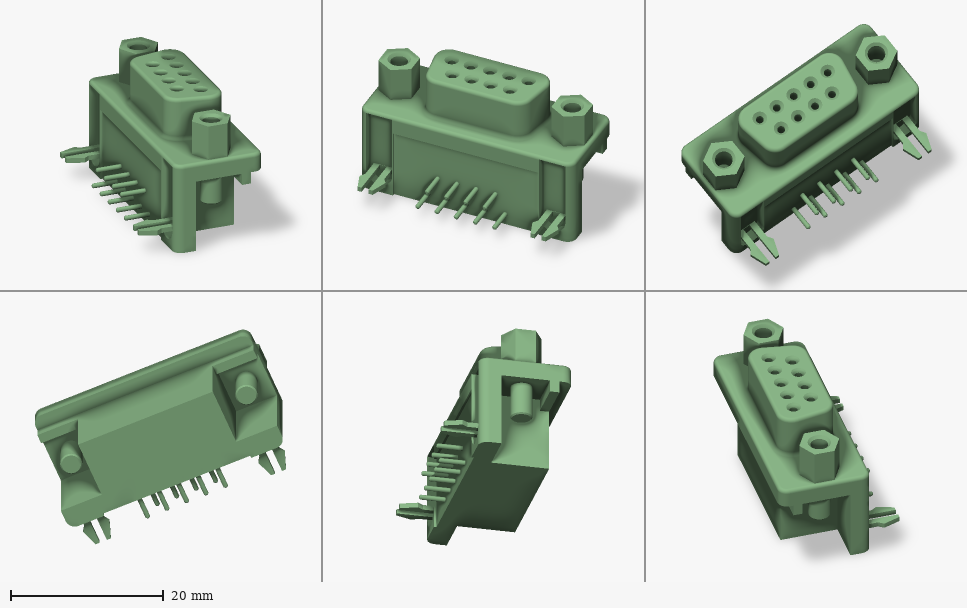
import cadquery as cq
import math


flange_length = 30.8
flange_depth = 12.5
flange_bottom = 9.95
flange_top = 12.5
corner_radius = 1.3
edge_round = 0.5
front_y = -flange_depth / 2
front_wall_thickness = 2.9

body_half_width = 9.58
body_back_y = 4.45
panel_half_width = 10.48
panel_recess = 0.35
panel_y = front_y + panel_recess
back_lip_depth = 1.25
back_lip_height = 1.6

shell_top = 18.3
shell_half_depth = 3.95
shell_mean_half_width = 7.92
shell_taper = 10.0
shell_corner_radius = 2.05
shell_height = shell_top - flange_top

contact_pitch = 2.77
row_spacing = 2.8
row_counts = (5, 4)
socket_diameter = 1.02
socket_mouth_diameter = 1.9
socket_depth = shell_height
pin_diameter = 0.65
pin_length = 3.17
pin_tip_chamfer = 0.15
pin_lower_row_z = 1.6
pin_root = 0.3

jack_x = 12.48
hex_across_flats = 4.75
hex_height = 4.78
jack_hole_diameter = 2.3
jack_mouth_diameter = 3.05
screw_diameter = 2.9
screw_bottom = 5.45
screw_chamfer = 0.2

slot_half_width = 1.88
slot_depth = 1.4
slot_top = 12.1
slot_floor_y = front_y + slot_depth
lock_z = pin_lower_row_z + row_spacing / 2
lock_thickness = 0.68
lock_web_thickness = 0.05
lock_gap_half_width = 0.508
lock_shank_half_width = 1.4
lock_tip_half_width = 1.08
lock_barb_start = 1.35
lock_barb_peak = 2.1
lock_length = 4.38


def box(x_range, y_range, z_range):
    """Box spanning the given ranges."""
    size = [high - low for low, high in (x_range, y_range, z_range)]
    corner = cq.Vector(x_range[0], y_range[0], z_range[0])
    return cq.Workplane(cq.Solid.makeBox(*size, corner))


def row_positions(count):
    """X places of one row of contacts, centred on X = 0."""
    return [(i - (count - 1) / 2) * contact_pitch for i in range(count)]


def make_housing():
    """Flange with its front wall, recessed front panel, body and back lip."""
    housing = (
        cq.Workplane("XY")
        .rect(flange_length, flange_depth)
        .extrude(flange_top)
        .edges("|Z")
        .fillet(corner_radius)
        .faces(">Z")
        .edges()
        .fillet(edge_round)
    )
    half_length = flange_length / 2
    wall_back_y = front_y + front_wall_thickness
    full_width = (-half_length, half_length)
    housing = housing.cut(box(full_width, (wall_back_y, -front_y), (0, flange_bottom)))
    housing = housing.cut(
        box((-panel_half_width, panel_half_width), (front_y, panel_y), (0, flange_bottom))
    )
    body = box((-body_half_width, body_half_width), (wall_back_y, body_back_y), (0, flange_bottom))
    lip = box(
        full_width,
        (body_back_y - back_lip_depth, body_back_y),
        (flange_bottom - back_lip_height, flange_bottom),
    )
    return housing.union(body).union(lip)


def add_shell(housing):
    """D-shaped shell, rounded on top and blended into the flange."""
    flare = shell_half_depth * math.tan(math.radians(shell_taper))
    back_half_width = shell_mean_half_width + flare
    front_half_width = shell_mean_half_width - flare
    shell = (
        cq.Workplane("XY", origin=(0, 0, flange_top))
        .polyline(
            [
                (-back_half_width, shell_half_depth),
                (back_half_width, shell_half_depth),
                (front_half_width, -shell_half_depth),
                (-front_half_width, -shell_half_depth),
            ]
        )
        .close()
        .extrude(shell_height)
        .edges("|Z")
        .fillet(shell_corner_radius)
        .faces(">Z")
        .edges()
        .fillet(edge_round)
    )
    joint = cq.selectors.BoxSelector(
        (-back_half_width, -shell_half_depth - edge_round / 2, flange_top - edge_round / 2),
        (back_half_width, shell_half_depth + edge_round / 2, flange_top + edge_round / 2),
    )
    return housing.union(shell).edges(joint).fillet(edge_round)


def countersunk_hole(x, y, top, diameter, mouth_diameter, depth):
    """Cutter for a blind hole with a 45 degree countersink."""
    radius = diameter / 2
    mouth_radius = mouth_diameter / 2
    return (
        cq.Workplane("XZ")
        .polyline(
            [
                (0, 0),
                (mouth_radius, 0),
                (radius, radius - mouth_radius),
                (radius, -depth),
                (0, -depth),
            ]
        )
        .close()
        .revolve(360, (0, 0), (0, 1))
        .translate((x, y, top))
    )


def make_pin(x, z):
    """Solder pin leaving the front panel, chamfered at its tip."""
    return (
        cq.Workplane("XZ", origin=(x, panel_y + pin_root, z))
        .circle(pin_diameter / 2)
        .extrude(pin_root + panel_recess + pin_length)
        .faces("<Y")
        .chamfer(pin_tip_chamfer)
    )


def make_jack(x):
    """Hexagonal jack socket on the flange, with its screw below."""
    across_corners = hex_across_flats / math.cos(math.pi / 6)
    nut = (
        cq.Workplane("XY", origin=(x, 0, flange_top))
        .transformed(rotate=(0, 0, 90))
        .polygon(6, across_corners)
        .extrude(hex_height)
    )
    screw = (
        cq.Workplane("XY", origin=(x, 0, screw_bottom))
        .circle(screw_diameter / 2)
        .extrude(flange_bottom - screw_bottom)
        .faces("<Z")
        .chamfer(screw_chamfer)
    )
    hole = countersunk_hole(
        x, 0, flange_top + hex_height, jack_hole_diameter, jack_mouth_diameter, hex_height
    )
    return nut.cut(hole).union(screw)


def lock_slot(x):
    """Cutter for the round-bottomed slot around one board lock."""
    return (
        cq.Workplane("XZ", origin=(x, slot_floor_y, 0))
        .moveTo(-slot_half_width, slot_top)
        .lineTo(-slot_half_width, lock_z)
        .threePointArc((0, lock_z - slot_half_width), (slot_half_width, lock_z))
        .lineTo(slot_half_width, slot_top)
        .close()
        .extrude(slot_depth)
    )


def make_lock(x):
    """Pair of barbed board lock prongs joined by a thin web on the slot floor."""
    half = (
        cq.Workplane("XY", origin=(0, 0, lock_z - lock_thickness / 2))
        .polyline(
            [
                (0, slot_floor_y),
                (lock_shank_half_width, slot_floor_y),
                (lock_shank_half_width, front_y - lock_barb_start),
                (slot_half_width, front_y - lock_barb_peak),
                (lock_tip_half_width, front_y - lock_length),
                (lock_gap_half_width, front_y - lock_length),
                (lock_gap_half_width, slot_floor_y - lock_web_thickness),
                (0, slot_floor_y - lock_web_thickness),
            ]
        )
        .close()
        .extrude(lock_thickness)
    )
    return half.union(half.mirror("YZ")).translate((x, 0, 0))


result = add_shell(make_housing())

for row, count in enumerate(row_counts):
    socket_y = row_spacing / 2 - row * row_spacing
    pin_z = pin_lower_row_z + row * row_spacing
    for contact_x in row_positions(count):
        result = result.cut(
            countersunk_hole(
                contact_x, socket_y, shell_top, socket_diameter, socket_mouth_diameter, socket_depth
            )
        )
        result = result.union(make_pin(contact_x, pin_z))

for side_x in (-jack_x, jack_x):
    result = result.union(make_jack(side_x))
    result = result.cut(lock_slot(side_x)).union(make_lock(side_x))